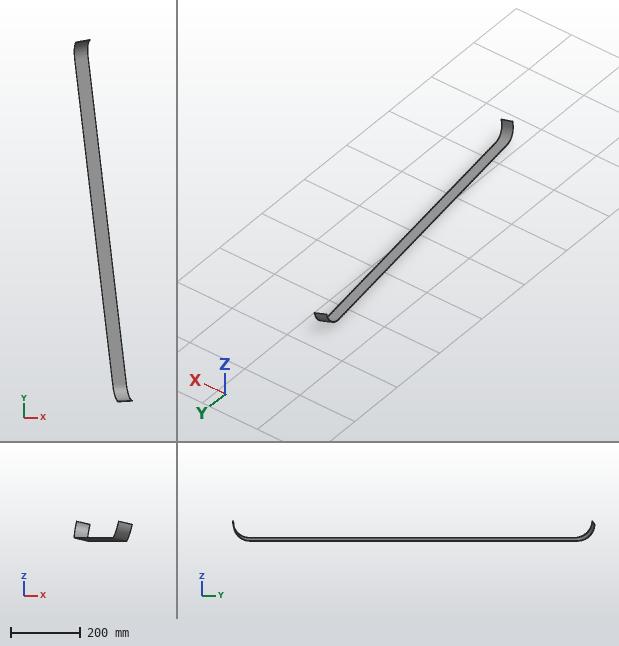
import cadquery as cq
import math

width = 40.38
thickness = 2.0
outer_radius = 50.0
inner_radius = outer_radius - thickness

narrow_side_length = 943.78
end_flare = 2.26
wide_side_length = narrow_side_length + 2 * end_flare

roll_angle = 13.33
yaw_angle = 6.67


def side_profile(side_x, straight_length):
    """Closed outline of one long side: a straight strip with a quarter bend up at each end."""
    half = straight_length / 2
    tip_height = outer_radius
    diagonal = math.sqrt(0.5)

    def bend_middle(end, radius):
        return end * (half + radius * diagonal), tip_height - radius * diagonal

    return (
        cq.Workplane("YZ", origin=(side_x, 0, 0))
        .moveTo(-half - outer_radius, tip_height)
        .threePointArc(bend_middle(-1, outer_radius), (-half, 0))
        .lineTo(half, 0)
        .threePointArc(bend_middle(1, outer_radius), (half + outer_radius, tip_height))
        .lineTo(half + inner_radius, tip_height)
        .threePointArc(bend_middle(1, inner_radius), (half, thickness))
        .lineTo(-half, thickness)
        .threePointArc(bend_middle(-1, inner_radius), (-half - inner_radius, tip_height))
        .close()
        .wire()
        .val()
    )


def bent_strip():
    """Flat strip between its narrow and wide sides, lying along Y with its ends turned up."""
    narrow_side = side_profile(-width / 2, narrow_side_length)
    wide_side = side_profile(width / 2, wide_side_length)
    return cq.Workplane(cq.Solid.makeLoft([narrow_side, wide_side], True))


origin = (0, 0, 0)
rolled_strip = bent_strip().rotate(origin, (0, 1, 0), roll_angle)
result = rolled_strip.rotate(origin, (0, 0, 1), yaw_angle)